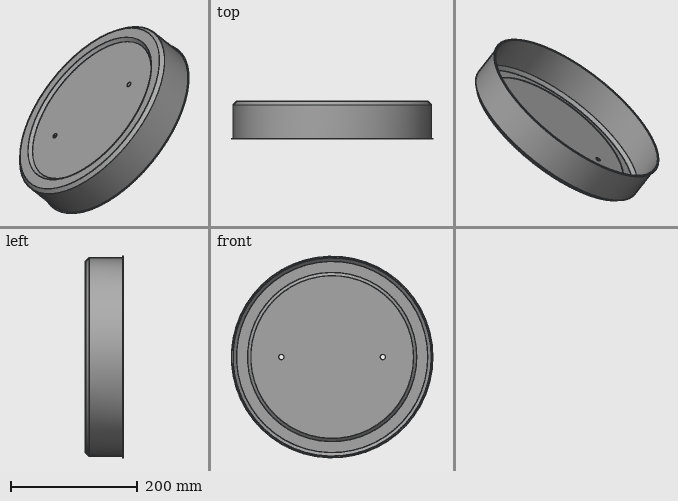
import cadquery as cq
import math

rim_diameter = 318.0
wall_diameter = 314.0
pan_depth = 60.0
sheet = 1.0
edge_bevel = 6.0
plateau_rise = 5.0
step_radius = 133.5
hole_diameter = 8.0
hole_spacing = 160.0

rim_radius = rim_diameter / 2
wall_radius = wall_diameter / 2
inner_radius = wall_radius - sheet
bend_shift = sheet * math.tan(math.radians(22.5))
front_y = -pan_depth / 2
back_y = pan_depth / 2
floor_y = back_y - sheet
bevel_y = back_y - edge_bevel
bevel_radius = wall_radius - edge_bevel
plateau_radius = step_radius - plateau_rise


def pan_shell():
    """Revolve the sheet's half section (radius, y) around the Y axis."""
    outside = [
        (rim_radius, front_y),
        (rim_radius, front_y + sheet),
        (wall_radius, front_y + sheet),
        (wall_radius, bevel_y),
        (bevel_radius, back_y),
        (step_radius - bend_shift, back_y),
        (plateau_radius - bend_shift, back_y - plateau_rise),
        (0, back_y - plateau_rise),
    ]
    inside = [
        (0, floor_y - plateau_rise),
        (plateau_radius, floor_y - plateau_rise),
        (step_radius, floor_y),
        (bevel_radius - bend_shift, floor_y),
        (inner_radius, bevel_y - bend_shift),
        (inner_radius, front_y),
    ]
    section = cq.Workplane("XY").polyline(outside + inside).close()
    return section.revolve(360, (0, 0, 0), (0, 1, 0))


def mounting_holes():
    """Two pins along Y that cut the holes through the centre panel."""
    return (
        cq.Workplane("XZ", origin=(0, back_y, 0))
        .pushPoints([(-hole_spacing / 2, 0), (hole_spacing / 2, 0)])
        .circle(hole_diameter / 2)
        .extrude(pan_depth)
    )


result = pan_shell().cut(mounting_holes())